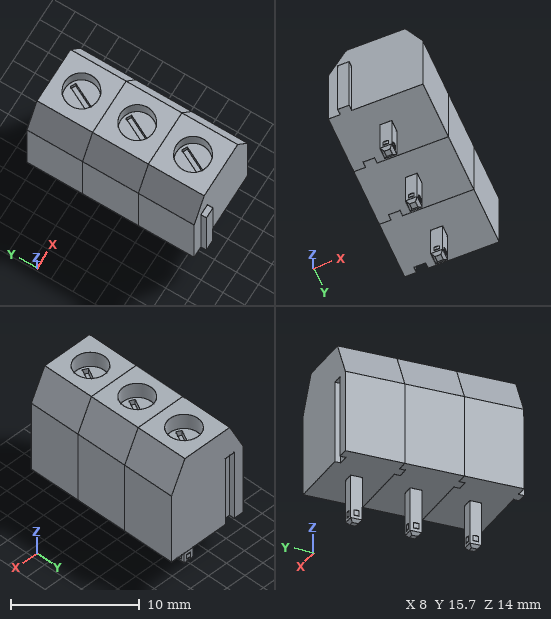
import cadquery as cq

overall_length = 15.74
module_count = 3
rib_thickness = 0.5
module_pitch = (overall_length - rib_thickness) / module_count

housing_width = 8.0
housing_height = 10.0
shoulder_height = 7.0
top_width = 5.0

rib_width = 0.98
rib_edge_distance = 1.0

screw_hole_diameter = 3.0
screw_hole_depth = 1.5
slot_length = 2.5
slot_width = 0.5
slot_depth = 0.5
slot_angle = 63

pin_width = 1.0
pin_length = 4.0
pin_tip_chamfer = 0.25
collar_diameter = 1.1
collar_height = 0.47
collar_top_depth = 3.0

rib_center_x = -housing_width / 2 + rib_edge_distance + rib_width / 2


def make_housing():
    """Prism with two sloping flanks, centred on Y = 0."""
    return (
        cq.Workplane("XZ", origin=(0, module_pitch / 2, 0))
        .moveTo(-housing_width / 2, 0)
        .lineTo(housing_width / 2, 0)
        .lineTo(housing_width / 2, shoulder_height)
        .lineTo(top_width / 2, housing_height)
        .lineTo(-top_width / 2, housing_height)
        .lineTo(-housing_width / 2, shoulder_height)
        .close()
        .extrude(module_pitch)
    )


def make_rib(back_y):
    """Upright bar whose +Y face lies at back_y."""
    return (
        cq.Workplane("XY", origin=(rib_center_x, back_y - rib_thickness / 2, 0))
        .rect(rib_width, rib_thickness)
        .extrude(shoulder_height)
    )


def make_screw_recess():
    """Round access hole plus the narrow slot below its floor."""
    floor_z = housing_height - screw_hole_depth
    hole = (
        cq.Workplane("XY", origin=(0, 0, floor_z))
        .circle(screw_hole_diameter / 2)
        .extrude(screw_hole_depth)
    )
    slot = (
        cq.Workplane("XY", origin=(0, 0, floor_z))
        .transformed(rotate=(0, 0, slot_angle))
        .rect(slot_length, slot_width)
        .extrude(-slot_depth)
    )
    return hole.union(slot)


def make_pin():
    """Square pin with a chamfered tip and a round collar near the tip."""
    shank = (
        cq.Workplane("XY")
        .rect(pin_width, pin_width)
        .extrude(-pin_length)
        .faces("<Z")
        .chamfer(pin_tip_chamfer)
    )
    collar = (
        cq.Workplane("XY", origin=(0, 0, -collar_top_depth))
        .circle(collar_diameter / 2)
        .extrude(-collar_height)
    )
    return shank.union(collar)


def make_module():
    """One pole: its rib fits the matching groove in the +Y face of the next pole."""
    return (
        make_housing()
        .cut(make_rib(module_pitch / 2))
        .union(make_rib(-module_pitch / 2))
        .cut(make_screw_recess())
        .union(make_pin())
    )


module = make_module()
modules = [
    module.translate((0, index * module_pitch, 0)).val()
    for index in range(module_count)
]

result = cq.Compound.makeCompound(modules)